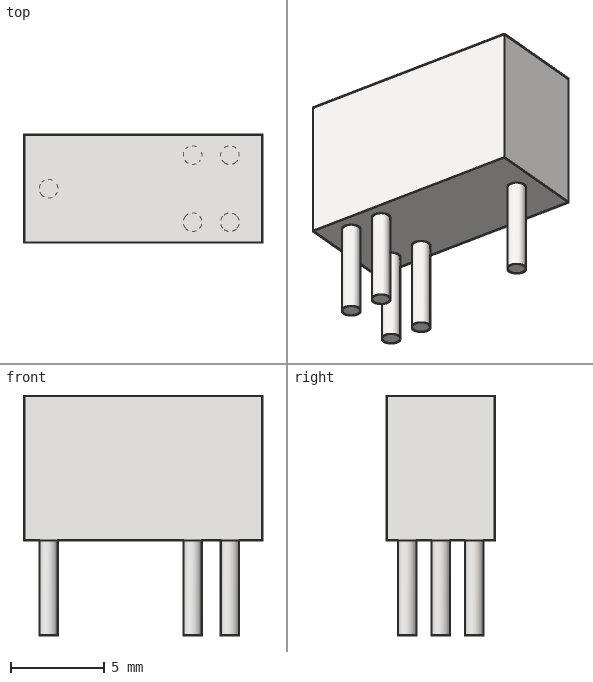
import cadquery as cq

housing_length = 12.8
housing_width = 5.8
overall_height = 12.85

pin_diameter = 1.0
pin_length = 5.1
housing_height = overall_height - pin_length

lone_pin_x = -5.08
inner_pin_x = 2.65
pin_pitch = 2.0
row_spacing = 3.6
outer_pin_x = inner_pin_x + pin_pitch

pin_positions = [(lone_pin_x, 0)]
for row_y in (-row_spacing / 2, row_spacing / 2):
    for pin_x in (inner_pin_x, outer_pin_x):
        pin_positions.append((pin_x, row_y))


def make_housing():
    """Plain block standing on the plane Z = 0."""
    return cq.Workplane("XY").box(
        housing_length, housing_width, housing_height, centered=(True, True, False)
    )


def make_pin(x, y):
    """Straight round pin from the housing underside downward."""
    return cq.Workplane("XY").center(x, y).circle(pin_diameter / 2).extrude(-pin_length)


housing = make_housing()
pins = [make_pin(x, y) for x, y in pin_positions]

result = cq.Compound.makeCompound([housing.val(), *[pin.val() for pin in pins]])